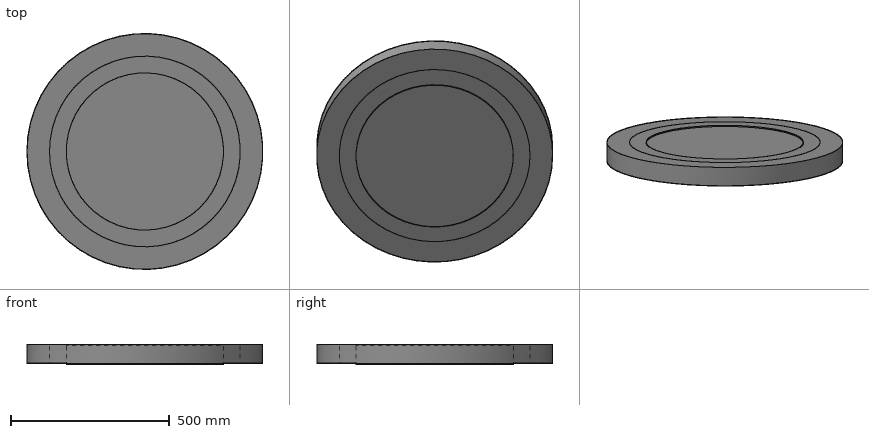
import cadquery as cq

outer_diameter = 743.0
middle_diameter = 600.0
disc_diameter = 495.0
thickness = 60.0
disc_drop = 4.0


def cylinder(diameter, bottom):
    """Solid cylinder of the common thickness, with its seam on the -X side."""
    blank = cq.Workplane("XY").workplane(offset=bottom).circle(diameter / 2).extrude(thickness)
    return blank.rotate((0, 0, 0), (0, 0, 1), 180)


def ring(ring_diameter, bore_diameter):
    """Flat ring standing on the XY plane."""
    return cylinder(ring_diameter, 0).cut(cylinder(bore_diameter, 0))


outer_ring = ring(outer_diameter, middle_diameter)
middle_ring = ring(middle_diameter, disc_diameter)
center_disc = cylinder(disc_diameter, -disc_drop)

result = cq.Compound.makeCompound([
    outer_ring.val(),
    middle_ring.val(),
    center_disc.val(),
])